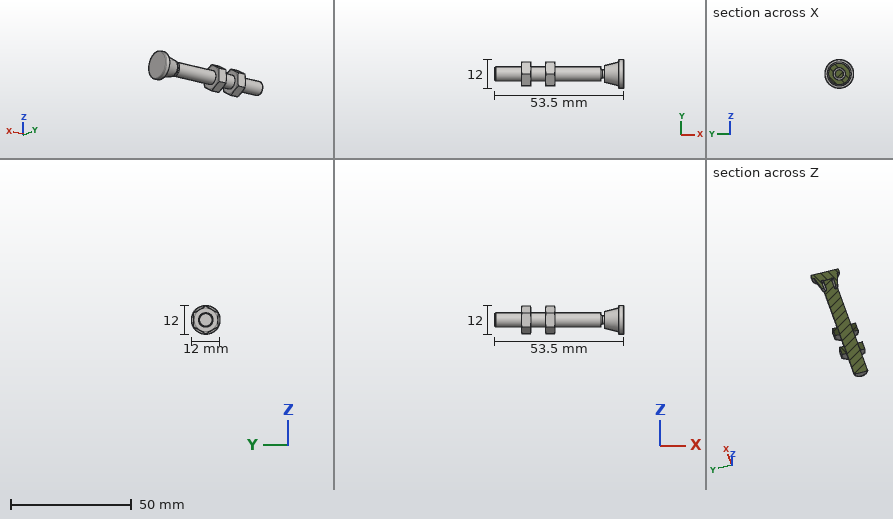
import cadquery as cq
import math

overall_length = 53.45

screw_diameter = 6.0
screw_tip_diameter = 5.16
screw_tip_length = 0.5
shank_length = 44.0
neck_diameter = 3.5
neck_root_diameter = 4.1
neck_taper_length = 0.6

hexagon_sides = 6
nut_across_flats = 10.0
nut_thickness = 4.0
nut_face_diameter = 9.8
nut_chamfer_angle = 15.0
first_nut_start = 11.0
nut_pitch = 10.0
nut_count = 2

foot_length = 8.0
flange_diameter = 12.0
flange_thickness = 2.1
flange_edge_radius = 0.3
cone_small_diameter = 7.0
cone_large_diameter = 10.0
socket_diameter = 5.0
socket_depth = 4.0

foot_start = overall_length - foot_length

neck_end = foot_start + socket_depth


def revolve_profile(profile):
    """Turn a half outline, drawn with X along the axis and Z as radius, into a solid."""
    return profile.close().revolve(360, (0, 0, 0), (1, 0, 0))


def make_screw():
    """Round shank with a chamfered tip and a thinner neck that enters the foot."""
    radius = screw_diameter / 2
    tip_radius = screw_tip_diameter / 2
    neck_radius = neck_diameter / 2
    profile = (
        cq.Workplane("XZ")
        .lineTo(0, tip_radius)
        .lineTo(screw_tip_length, radius)
        .lineTo(shank_length, radius)
        .lineTo(shank_length, neck_root_diameter / 2)
        .lineTo(shank_length + neck_taper_length, neck_radius)
        .lineTo(neck_end, neck_radius)
        .lineTo(neck_end, 0)
    )
    return revolve_profile(profile)


def make_nut(start):
    """Hex nut with two corners on the Z axis and its corners bevelled on both faces."""
    across_corners = nut_across_flats / math.cos(math.pi / hexagon_sides)
    hexagon = (
        cq.Workplane("YZ", origin=(start, 0, 0))
        .transformed(rotate=(0, 0, 90))
        .polygon(hexagon_sides, across_corners)
        .extrude(nut_thickness)
    )
    face_radius = nut_face_diameter / 2
    corner_radius = across_corners / 2
    bevel_depth = (corner_radius - face_radius) * math.tan(math.radians(nut_chamfer_angle))
    end = start + nut_thickness
    bevel_envelope = revolve_profile(
        cq.Workplane("XZ")
        .moveTo(start, 0)
        .lineTo(start, face_radius)
        .lineTo(start + bevel_depth, corner_radius)
        .lineTo(end - bevel_depth, corner_radius)
        .lineTo(end, face_radius)
        .lineTo(end, 0)
    )
    bore = cq.Workplane("YZ", origin=(start, 0, 0)).circle(screw_diameter / 2).extrude(nut_thickness)
    return hexagon.intersect(bevel_envelope).cut(bore)


def make_foot():
    """Conical foot with a round flange and a blind socket that leaves clearance around the neck."""
    flange_start = overall_length - flange_thickness
    cone = revolve_profile(
        cq.Workplane("XZ")
        .moveTo(foot_start, 0)
        .lineTo(foot_start, cone_small_diameter / 2)
        .lineTo(flange_start, cone_large_diameter / 2)
        .lineTo(flange_start, 0)
    )
    flange = (
        cq.Workplane("YZ", origin=(flange_start, 0, 0))
        .circle(flange_diameter / 2)
        .extrude(flange_thickness)
        .edges()
        .fillet(flange_edge_radius)
    )
    socket = (
        cq.Workplane("YZ", origin=(foot_start, 0, 0))
        .circle(socket_diameter / 2)
        .extrude(socket_depth)
    )
    return cone.union(flange).cut(socket)


screw = make_screw()
nuts = [make_nut(first_nut_start + i * nut_pitch) for i in range(nut_count)]
foot = make_foot()

result = cq.Compound.makeCompound([screw.val(), *[nut.val() for nut in nuts], foot.val()])